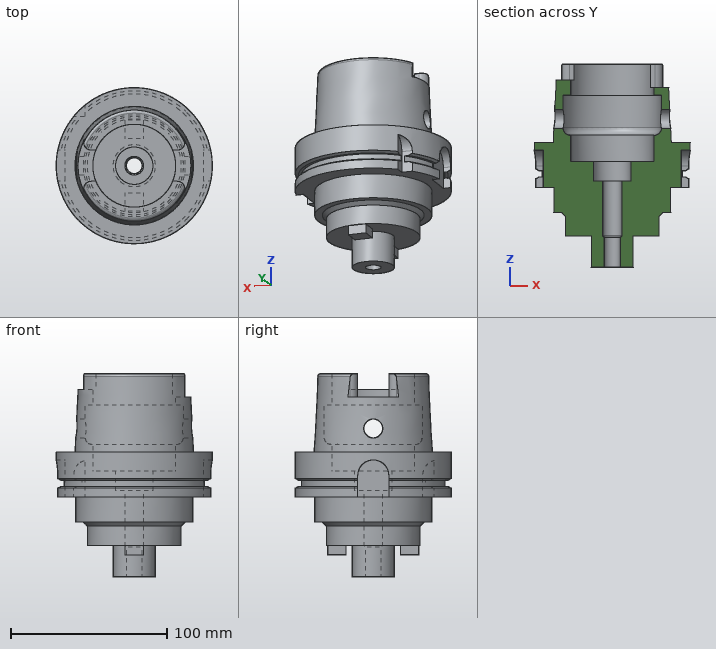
import cadquery as cq


overall_length = 130

shank_length = 50.0
shank_base_radius = 38.0
taper_slope = 1 / 20
shank_top_radius = shank_base_radius - taper_slope * shank_length
rim_rounding = 2.0

flange_diameter = 100.0
flange_radius = flange_diameter / 2
flange_height = 29.0
groove_radius = 46.0
groove_top = -17.0
groove_bottom = -23.3
groove_chamfer = 1.2
groove_bevel_depth = 2.1

neck_radius = 37.6
neck_bottom = -45.0
spigot_radius = 30.0
spigot_bottom = -59.9
shoulder_bevel = 2.6
pilot_radius = 13.5
pilot_bottom = shank_length - overall_length

bore_radius = 26.5
mouth_depth = 20.0
chamber_radius = 31.5
chamber_rounding = chamber_radius - bore_radius
chamber_straight_end = 9.5
bore_floor = -12.2
seat_radius = 12.0
seat_bottom = -24.7
drill_radius = 6.0
outlet_diameter = 10.0
outlet_radius = outlet_diameter / 2

cross_hole_radius = 6.0
cross_hole_height = 15.0

slot_width = 19.9
deep_drive_slot = 15.0
shallow_drive_slot = 10.0
drive_slot_rounding = 5.0
drive_flat_offset = 32.4
key_slot_top = -5.2
key_slot_floor = 44.2
corner_notch_offset = 31.6

key_width = 12.0
key_height = 6.0
key_inner = 17.4
key_outer = 29.1


def make_outer_body():
    """Solid of revolution carrying shank, flange, neck, spigot and pilot."""
    bevel_radius = flange_radius - groove_bevel_depth
    return (
        cq.Workplane("XZ")
        .moveTo(0, pilot_bottom)
        .lineTo(pilot_radius, pilot_bottom)
        .lineTo(pilot_radius, spigot_bottom)
        .lineTo(spigot_radius, spigot_bottom)
        .lineTo(spigot_radius, neck_bottom - shoulder_bevel)
        .lineTo(spigot_radius + shoulder_bevel, neck_bottom)
        .lineTo(neck_radius, neck_bottom)
        .lineTo(neck_radius, -flange_height)
        .lineTo(flange_radius, -flange_height)
        .lineTo(flange_radius, groove_bottom)
        .lineTo(bevel_radius, groove_bottom + groove_chamfer)
        .lineTo(groove_radius, groove_bottom + groove_chamfer)
        .lineTo(groove_radius, groove_top - groove_chamfer)
        .lineTo(bevel_radius, groove_top - groove_chamfer)
        .lineTo(flange_radius, groove_top)
        .lineTo(flange_radius, 0)
        .lineTo(shank_base_radius, 0)
        .lineTo(shank_top_radius, shank_length)
        .lineTo(0, shank_length)
        .close()
        .revolve(360, (0, 0), (0, 1))
        .faces(">Z")
        .edges()
        .fillet(rim_rounding)
    )


def make_cavity():
    """Bore with its wider clamping chamber, tube seat and stepped hole through the pilot."""
    mouth_bottom = shank_length - mouth_depth
    outlet_bevel = drill_radius - outlet_radius
    return (
        cq.Workplane("XZ")
        .moveTo(0, shank_length)
        .lineTo(bore_radius, shank_length)
        .lineTo(bore_radius, mouth_bottom)
        .lineTo(chamber_radius, mouth_bottom)
        .lineTo(chamber_radius, chamber_straight_end)
        .radiusArc((bore_radius, chamber_straight_end - chamber_rounding), chamber_rounding)
        .lineTo(bore_radius, bore_floor)
        .lineTo(seat_radius, bore_floor)
        .lineTo(seat_radius, seat_bottom)
        .lineTo(drill_radius, seat_bottom)
        .lineTo(drill_radius, spigot_bottom)
        .lineTo(outlet_radius, spigot_bottom - outlet_bevel)
        .lineTo(outlet_radius, pilot_bottom)
        .lineTo(0, pilot_bottom)
        .close()
        .revolve(360, (0, 0), (0, 1))
    )


def make_drive_slot(depth):
    """Cutter for the +X side: a slot whose rounded mouth opens onto a flat."""
    half_width = slot_width / 2
    rounding_start = drive_flat_offset - drive_slot_rounding
    rounding_end = half_width + drive_slot_rounding
    return (
        cq.Workplane("XY", origin=(0, 0, shank_length - depth))
        .moveTo(0, half_width)
        .lineTo(rounding_start, half_width)
        .radiusArc((drive_flat_offset, rounding_end), -drive_slot_rounding)
        .lineTo(drive_flat_offset, flange_radius)
        .lineTo(flange_radius, flange_radius)
        .lineTo(flange_radius, -flange_radius)
        .lineTo(drive_flat_offset, -flange_radius)
        .lineTo(drive_flat_offset, -rounding_end)
        .radiusArc((rounding_start, -half_width), -drive_slot_rounding)
        .lineTo(0, -half_width)
        .close()
        .extrude(depth)
    )


def make_arched_cutter(center_y, floor_distance):
    """Round-topped cutter removing everything beyond X = floor_distance."""
    half_width = slot_width / 2
    arch_center = key_slot_top - half_width
    return (
        cq.Workplane("YZ", origin=(floor_distance, 0, 0))
        .moveTo(center_y - half_width, -flange_height)
        .lineTo(center_y - half_width, arch_center)
        .threePointArc((center_y, key_slot_top), (center_y + half_width, arch_center))
        .lineTo(center_y + half_width, -flange_height)
        .close()
        .extrude(flange_radius)
    )


def make_driving_key(side):
    """Rectangular key hanging below the spigot face on one Y side."""
    length = key_outer - key_inner
    middle = side * (key_inner + key_outer) / 2
    return cq.Workplane("XY").box(key_width, length, key_height, centered=(True, True, False)).translate(
        (0, middle, spigot_bottom - key_height)
    )


body = make_outer_body().cut(make_cavity())
body = body.cut(make_drive_slot(deep_drive_slot))
body = body.cut(make_drive_slot(shallow_drive_slot).mirror("YZ"))

cross_hole = (
    cq.Workplane("YZ", origin=(-flange_radius, 0, cross_hole_height))
    .circle(cross_hole_radius)
    .extrude(2 * flange_radius)
)
body = body.cut(cross_hole)

key_slot = make_arched_cutter(0, key_slot_floor)
body = body.cut(key_slot).cut(key_slot.mirror("YZ"))

notch_center = corner_notch_offset + slot_width / 2
body = body.cut(make_arched_cutter(notch_center, corner_notch_offset).mirror("YZ"))

for side in (1, -1):
    body = body.union(make_driving_key(side))

result = body